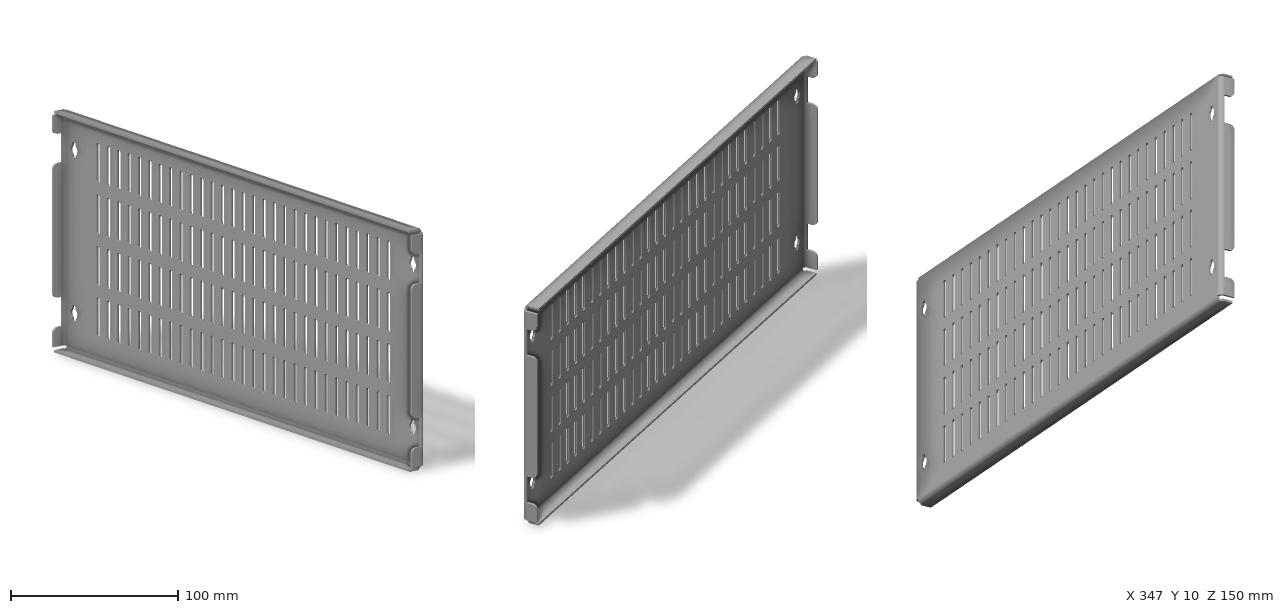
import cadquery as cq

length = 347.0
depth = 10.0
height = 150.0

sheet = 1.5
bend_outer = 3.0
bend_inner = bend_outer - sheet

bend_relief = 0.7
flange_overhang = 0.7

end_tab_start = 60.0
middle_tab_end = 41.5
tab_corner_radius = 3.5

slot_columns = 29
slot_rows = 4
slot_field_length = 279.7
slot_pitch_x = slot_field_length / (slot_columns - 1)
slot_pitch_z = 32.0
slot_length = 25.0
slot_width = 3.0

mount_x = 163.0
mount_z = 50.5
mount_diameter = 6.5
mount_slot_width = 3.5
mount_slot_length = 10.5

back = depth / 2
front = -depth / 2
bend_start = back - bend_outer
flange_depth = bend_start - front
flat_length = length - 2 * bend_outer
flat_height = height - 2 * bend_outer


def bend(plane, half_span, bend_length):
    """Quarter-round bend; local x runs outward from the part centre, local y along +Y."""
    flat_edge = half_span - bend_outer
    diagonal = 0.5 ** 0.5
    outer_middle = (flat_edge + bend_outer * diagonal, bend_start + bend_outer * diagonal)
    inner_middle = (flat_edge + bend_inner * diagonal, bend_start + bend_inner * diagonal)
    return (
        cq.Workplane(plane)
        .moveTo(flat_edge, back)
        .threePointArc(outer_middle, (half_span, bend_start))
        .lineTo(half_span - sheet, bend_start)
        .threePointArc(inner_middle, (flat_edge, back - sheet))
        .close()
        .extrude(bend_length / 2, both=True)
    )


def top_flange():
    """Full-length flange on the +Z edge."""
    section_plane = cq.Plane(origin=(0, 0, 0), xDir=(0, 0, 1), normal=(-1, 0, 0))
    flange = cq.Workplane("XY").box(flat_length + 2 * flange_overhang, flange_depth, sheet)
    flange = flange.translate((0, (bend_start + front) / 2, (height - sheet) / 2))
    return bend(section_plane, height / 2, flat_length - 2 * bend_relief).union(flange)


def side_tab(bottom, top, rounded_corners):
    """Flat tab on the +X side between two heights, with the selected -Y corners rounded."""
    tab = cq.Workplane("XY").box(sheet, flange_depth, top - bottom)
    tab = tab.edges(rounded_corners).fillet(tab_corner_radius)
    return tab.translate(((length - sheet) / 2, (bend_start + front) / 2, (bottom + top) / 2))


def side_flange():
    """Bend along the +X edge carrying the middle tab and the two end tabs."""
    end_tab = side_tab(end_tab_start, flat_height / 2, "(|X and <Y) and <Z")
    middle_tab = side_tab(-middle_tab_end, middle_tab_end, "|X and <Y")
    return (
        bend("XY", length / 2, flat_height)
        .union(middle_tab)
        .union(end_tab)
        .union(end_tab.mirror("XY"))
    )


def web_workplane():
    """Workplane on the back of the web, looking along -Y; extrusions run through the sheet."""
    return cq.Workplane("XZ", origin=(0, back, 0))


def slot_cutter():
    return (
        web_workplane()
        .rarray(slot_pitch_x, slot_pitch_z, slot_columns, slot_rows)
        .slot2D(slot_length, slot_width, 90)
        .extrude(sheet)
    )


def mount_hole_cutter():
    centers = [(x, z) for x in (-mount_x, mount_x) for z in (-mount_z, mount_z)]
    round_holes = web_workplane().pushPoints(centers).circle(mount_diameter / 2).extrude(sheet)
    upright_slots = (
        web_workplane()
        .pushPoints(centers)
        .slot2D(mount_slot_length, mount_slot_width, 90)
        .extrude(sheet)
    )
    return round_holes.union(upright_slots)


web = web_workplane().rect(flat_length, flat_height).extrude(sheet)
web = web.cut(slot_cutter()).cut(mount_hole_cutter())

result = (
    web.union(top_flange())
    .union(top_flange().mirror("XY"))
    .union(side_flange())
    .union(side_flange().mirror("YZ"))
)